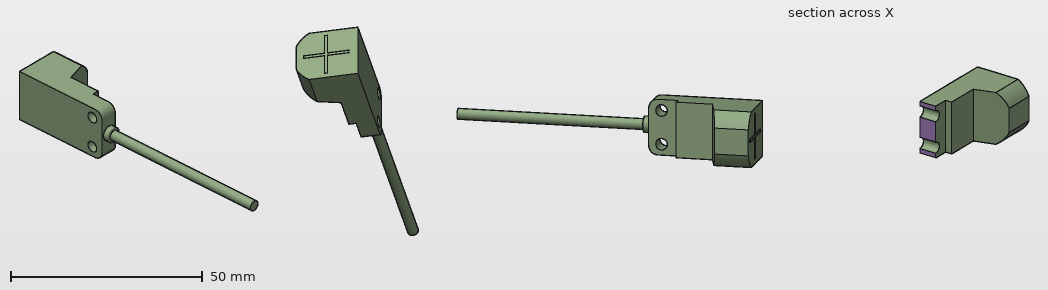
import cadquery as cq

total_length = 81.0
body_depth = 16.5
body_height = 15.0

body_length = 29.4
head_top_length = 9.0
head_base_length = 11.8
step_length = 21.55
step_depth = 7.05
tail_depth = 5.1
tail_corner_radius = 2.5

sensing_axis_y = 8.5
head_radius = 8.75

cross_span = 12.15
cross_width = 0.8
cross_groove_depth = 0.1

hole_diameter = 3.1
hole_spacing = 9.1
hole_x = 25.9

cable_axis_y = 2.7
cable_diameter = 2.9
collar_diameter = 4.4
collar_length = 1.7
collar_edge_radius = 0.25


def make_body():
    """Stepped block with rounded tail corners, centred on Z = 0."""
    profile = [
        (0, 0),
        (body_length, 0),
        (body_length, tail_depth),
        (step_length, tail_depth),
        (step_length, step_depth),
        (head_base_length, step_depth),
        (head_top_length, body_depth),
        (0, body_depth),
    ]
    block = cq.Workplane("XY").polyline(profile).close().extrude(body_height / 2, both=True)
    return block.edges("|Y and >X").fillet(tail_corner_radius)


def round_head(body):
    """Trim the back corners of the head to a cylinder about the sensing axis."""
    cylinder = cq.Workplane("YZ").center(sensing_axis_y, 0).circle(head_radius).extrude(body_length)
    front_block = cq.Workplane("XY").box(
        body_length, sensing_axis_y, body_height, centered=(False, False, True)
    )
    return body.intersect(cylinder.union(front_block))


def make_cross():
    """Two crossed bars that sink the mark into the sensing face."""
    face = cq.Workplane("YZ").center(sensing_axis_y, 0)
    across = face.rect(cross_span, cross_width).extrude(cross_groove_depth)
    upright = face.rect(cross_width, cross_span).extrude(cross_groove_depth)
    return across.union(upright)


def make_holes():
    """Pair of through-holes along Y."""
    return (
        cq.Workplane("XZ")
        .pushPoints([(hole_x, side * hole_spacing / 2) for side in (-1, 1)])
        .circle(hole_diameter / 2)
        .extrude(-body_depth)
    )


def make_cable():
    """Collar with a rounded end edge, and the cable running out to +X."""
    tail_face = cq.Workplane("YZ", origin=(body_length, cable_axis_y, 0))
    collar = tail_face.circle(collar_diameter / 2).extrude(collar_length)
    collar = collar.faces(">X").edges().fillet(collar_edge_radius)
    cable = tail_face.circle(cable_diameter / 2).extrude(total_length - body_length)
    return collar.union(cable)


body = round_head(make_body())
result = body.cut(make_cross()).cut(make_holes()).union(make_cable())